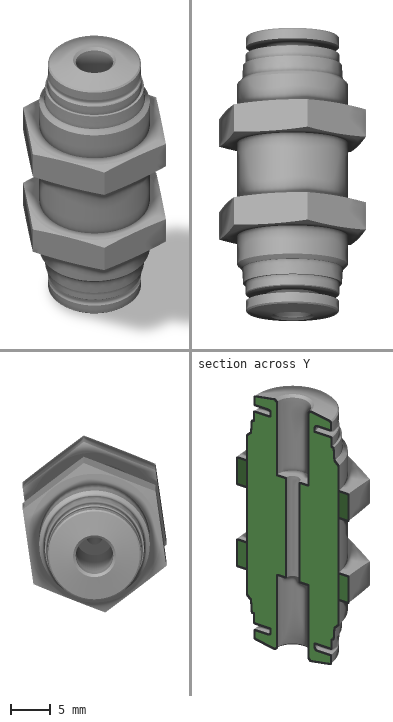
import cadquery as cq
import math

TOTAL_LENGTH = 36.6
HALF_LENGTH = TOTAL_LENGTH / 2

TUBE_DIAMETER = 14.0
TUBE_CHAMFER = 0.55
TUBE_HALF_LENGTH = 12.2

TAPER_BASE_DIAMETER = 12.77
TAPER_TIP_DIAMETER = 12.5
TAPER_TIP_HEIGHT = 14.1

COLLAR_DIAMETER = 11.9
COLLAR_TOP_HEIGHT = 15.52
COLLAR_CHAMFER = 0.1
NECK_DIAMETER = 6.77
NECK_FILLET = 0.35
FLANGE_DIAMETER = 11.8
FLANGE_BASE_HEIGHT = 16.4
FLANGE_CHAMFER = 0.2
CROWN_DROP = 0.5

SOCKET_DIAMETER = 4.75
SOCKET_MOUTH_DIAMETER = 5.4
SOCKET_DEPTH = 10.98
PASSAGE_DIAMETER = 2.0

NUT_ACROSS_FLATS = 17.0
NUT_HEIGHT = 4.0
NUT_GAP = 8.0
NUT_FACE_DIAMETER = 16.73
NUT_CORNER_DROP = 0.22
NUT_ACROSS_CORNERS = NUT_ACROSS_FLATS / math.cos(math.radians(30))


def revolve_about_z(profile):
    """Revolve an (r, z) profile drawn on the XZ plane about the Z axis."""
    return profile.close().revolve(360, (0, 0, 0), (0, 1, 0))


def make_tube():
    """Solid plain tube section, chamfered at both ends."""
    return (
        cq.Workplane("XY")
        .workplane(offset=-TUBE_HALF_LENGTH)
        .circle(TUBE_DIAMETER / 2)
        .extrude(2 * TUBE_HALF_LENGTH)
        .edges("%CIRCLE")
        .chamfer(TUBE_CHAMFER)
    )


def make_upper_end():
    """Solid upper end: tapered ring, collar, neck and crowned release flange."""
    collar_r = COLLAR_DIAMETER / 2
    neck_r = NECK_DIAMETER / 2
    flange_r = FLANGE_DIAMETER / 2
    rim_height = HALF_LENGTH - CROWN_DROP

    profile = (
        cq.Workplane("XZ")
        .moveTo(0, TUBE_HALF_LENGTH)
        .lineTo(TAPER_BASE_DIAMETER / 2, TUBE_HALF_LENGTH)
        .lineTo(TAPER_TIP_DIAMETER / 2, TAPER_TIP_HEIGHT)
        .lineTo(collar_r, TAPER_TIP_HEIGHT)
        .lineTo(collar_r, COLLAR_TOP_HEIGHT - COLLAR_CHAMFER)
        .lineTo(collar_r - COLLAR_CHAMFER, COLLAR_TOP_HEIGHT)
        .lineTo(neck_r, COLLAR_TOP_HEIGHT)
        .lineTo(neck_r, FLANGE_BASE_HEIGHT - NECK_FILLET)
        .radiusArc((neck_r + NECK_FILLET, FLANGE_BASE_HEIGHT), NECK_FILLET)
        .lineTo(flange_r, FLANGE_BASE_HEIGHT)
        .lineTo(flange_r, rim_height - FLANGE_CHAMFER)
        .lineTo(flange_r - FLANGE_CHAMFER, rim_height)
        .lineTo(SOCKET_MOUTH_DIAMETER / 2, HALF_LENGTH)
        .lineTo(0, HALF_LENGTH)
    )
    return revolve_about_z(profile)


def make_upper_socket():
    """Cutter for the upper tube socket with its 45 degree mouth chamfer."""
    socket_r = SOCKET_DIAMETER / 2
    mouth_r = SOCKET_MOUTH_DIAMETER / 2
    socket_floor = HALF_LENGTH - SOCKET_DEPTH
    mouth_depth = mouth_r - socket_r

    profile = (
        cq.Workplane("XZ")
        .moveTo(0, socket_floor)
        .lineTo(socket_r, socket_floor)
        .lineTo(socket_r, HALF_LENGTH - mouth_depth)
        .lineTo(mouth_r, HALF_LENGTH)
        .lineTo(0, HALF_LENGTH)
    )
    return revolve_about_z(profile)


def make_body():
    """Complete fitting body: tube with two mirrored ends, sockets and a through passage."""
    upper_end = make_upper_end()
    upper_socket = make_upper_socket()
    passage = cq.Workplane("XY").circle(PASSAGE_DIAMETER / 2).extrude(HALF_LENGTH, both=True)

    outside = make_tube().union(upper_end).union(upper_end.mirror("XY"))
    return outside.cut(upper_socket).cut(upper_socket.mirror("XY")).cut(passage)


def make_nut(center_height):
    """Hexagonal nut with corners along Y, chamfered on both faces and bored for the tube."""
    face_r = NUT_FACE_DIAMETER / 2
    corner_r = NUT_ACROSS_CORNERS / 2
    half_height = NUT_HEIGHT / 2
    corner_height = half_height - NUT_CORNER_DROP

    hexagon = (
        cq.Workplane("XY")
        .workplane(offset=-half_height)
        .polygon(6, NUT_ACROSS_CORNERS)
        .extrude(NUT_HEIGHT)
        .rotate((0, 0, 0), (0, 0, 1), 90)
    )
    chamfer_envelope = revolve_about_z(
        cq.Workplane("XZ")
        .moveTo(0, -half_height)
        .lineTo(face_r, -half_height)
        .lineTo(corner_r, -corner_height)
        .lineTo(corner_r, corner_height)
        .lineTo(face_r, half_height)
        .lineTo(0, half_height)
    )
    bore = (
        cq.Workplane("XY")
        .workplane(offset=-half_height)
        .circle(TUBE_DIAMETER / 2)
        .extrude(NUT_HEIGHT)
    )
    nut = hexagon.intersect(chamfer_envelope).cut(bore)
    return nut.translate((0, 0, center_height))


body = make_body()

nut_offset = (NUT_GAP + NUT_HEIGHT) / 2
nuts = [make_nut(side * nut_offset) for side in (-1, 1)]

result = cq.Compound.makeCompound([body.val(), *[nut.val() for nut in nuts]])